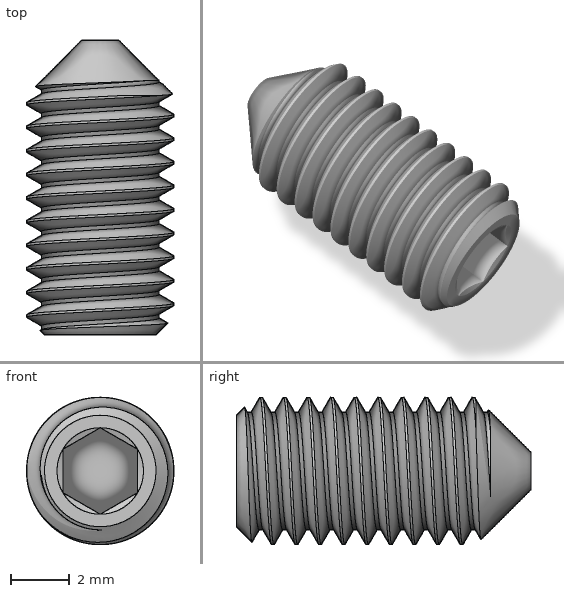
import cadquery as cq
import math

length = 10.0
major_diameter = 5.0
pitch = 0.8
flank_angle = 30.0
crest_width = pitch / 10
root_width = 0.14
crest_offset = 0.24

tip_diameter = 1.25
face_diameter = 3.78
hex_across_flats = 2.54
hex_depth = 2.5
lead_in_angle = 25.0

envelope_margin = 0.3
ridge_embed = 0.05
extra_turns = 2

flank_slope = math.tan(math.radians(flank_angle))
thread_depth = (pitch - crest_width - root_width) / 2 / flank_slope
major_radius = major_diameter / 2
root_radius = major_radius - thread_depth
tip_radius = tip_diameter / 2
face_radius = face_diameter / 2
hex_across_corners = hex_across_flats / math.cos(math.radians(30))


def make_envelope():
    """Revolved trimming body: chamfer at the socket face, cone at the tip, wider than the thread between."""
    envelope_radius = major_radius + envelope_margin
    chamfer_height = envelope_radius - face_radius
    cone_height = envelope_radius - tip_radius
    return (
        cq.Workplane("YZ")
        .moveTo(0, 0)
        .lineTo(0, face_radius)
        .lineTo(chamfer_height, envelope_radius)
        .lineTo(length - cone_height, envelope_radius)
        .lineTo(length, tip_radius)
        .lineTo(length, 0)
        .close()
        .revolve(360, (0, 0, 0), (1, 0, 0))
    )


def make_core():
    """Cylinder at the thread root diameter, along +Y."""
    return cq.Workplane("XZ").circle(root_radius).extrude(-length)


def make_thread_ridge():
    """Right-hand helical ridge with a flat crest, running past both ends of the screw."""
    half_crest = crest_width / 2
    base_radius = root_radius - ridge_embed
    half_base = half_crest + (major_radius - base_radius) * flank_slope
    turns = math.ceil(length / pitch) + extra_turns
    helix = cq.Wire.makeHelix(pitch, turns * pitch, root_radius)
    ridge = (
        cq.Workplane("XZ")
        .moveTo(base_radius, -half_base)
        .lineTo(major_radius, -half_crest)
        .lineTo(major_radius, half_crest)
        .lineTo(base_radius, half_base)
        .close()
        .sweep(cq.Workplane(obj=helix), isFrenet=True)
    )
    return ridge.rotate((0, 0, 0), (1, 0, 0), -90).translate((0, crest_offset - pitch, 0))


def make_socket():
    """Hexagonal socket with corners on +Z and -Z and a conical lead-in as wide as the corners."""
    corner_radius = hex_across_corners / 2
    hexagon = (
        cq.Workplane("XZ")
        .polygon(6, hex_across_corners)
        .extrude(-hex_depth)
        .rotate((0, 0, 0), (0, 1, 0), 30)
    )
    lead_in_height = corner_radius * math.tan(math.radians(lead_in_angle))
    lead_in = (
        cq.Workplane("XY")
        .polyline([(0, 0), (corner_radius, 0), (0, lead_in_height)])
        .close()
        .revolve(360, (0, 0, 0), (0, 1, 0))
    )
    return hexagon.union(lead_in)


envelope = make_envelope()
core = make_core().intersect(envelope)
ridge = make_thread_ridge().intersect(envelope)
result = core.union(ridge).cut(make_socket())